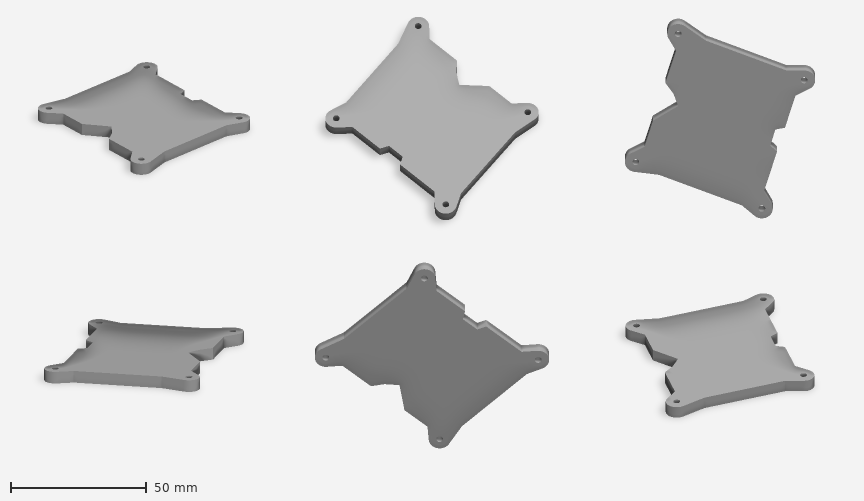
import cadquery as cq
import math

LENGTH_X = 68.2
LENGTH_Y = 57.9
THICKNESS = 4.5

EAR_RADIUS = 4.0
HOLE_DIAMETER = 2.5
HOLE_SPACING_X = 54.95
OUTER_HOLE_X = LENGTH_X / 2 - EAR_RADIUS
INNER_HOLE_X = HOLE_SPACING_X - OUTER_HOLE_X
HOLE_Y = LENGTH_Y / 2 - EAR_RADIUS

REAR_LEFT = (-OUTER_HOLE_X, HOLE_Y)
REAR_RIGHT = (INNER_HOLE_X, HOLE_Y)
FRONT_RIGHT = (OUTER_HOLE_X, -HOLE_Y)
FRONT_LEFT = (-INNER_HOLE_X, -HOLE_Y)

EDGE_Y = 23.65
CORNER_OFFSET = EAR_RADIUS * math.sqrt(2) + HOLE_Y - EDGE_Y

LEFT_SIDE_REAR = (-30.9, 17.5)
LEFT_SIDE_FRONT = (-27.5, -15.3)
RIGHT_SIDE_REAR = (26.95, 17.3)
RIGHT_SIDE_FRONT = (30.3, -14.3)

REAR_NOTCH_DEPTH = 3.15
REAR_NOTCH_FLOOR_Y = EDGE_Y - REAR_NOTCH_DEPTH
REAR_NOTCH = [
    (-6.0, EDGE_Y),
    (-4.35, REAR_NOTCH_FLOOR_Y),
    (2.5, REAR_NOTCH_FLOOR_Y),
    (4.15, EDGE_Y),
]
FRONT_NOTCH = [
    (-6.8, -EDGE_Y),
    (1.65, -16.5),
    (6.1, -19.7),
    (9.35, -EDGE_Y),
]


def tangent_angle(center, point, turn):
    """Angle of the ear radius whose tangent passes through point; turn +1 is counterclockwise."""
    dx = point[0] - center[0]
    dy = point[1] - center[1]
    return math.atan2(dy, dx) + turn * math.acos(EAR_RADIUS / math.hypot(dx, dy))


def on_ear(center, angle):
    return (
        center[0] + EAR_RADIUS * math.cos(angle),
        center[1] + EAR_RADIUS * math.sin(angle),
    )


def add_ear(outline, center, before, after):
    """Run clockwise from corner before, around the ear, to corner after."""
    start = tangent_angle(center, before, -1)
    end = tangent_angle(center, after, 1)
    sweep = (start - end) % (2 * math.pi)
    return (
        outline.lineTo(*on_ear(center, start))
        .threePointArc(on_ear(center, start - sweep / 2), on_ear(center, end))
        .lineTo(*after)
    )


def add_points(outline, points):
    for point in points:
        outline = outline.lineTo(*point)
    return outline


def edge_corner(center, inward):
    """Corner where a front or rear edge meets the 45 degree flank of an ear."""
    return (center[0] + inward * CORNER_OFFSET, math.copysign(EDGE_Y, center[1]))


def make_plate():
    """Plate outline traced clockwise from the rear end of the left side."""
    outline = cq.Workplane("XY").moveTo(*LEFT_SIDE_REAR)
    outline = add_ear(outline, REAR_LEFT, LEFT_SIDE_REAR, edge_corner(REAR_LEFT, 1))
    outline = add_points(outline, REAR_NOTCH)
    rear_right_corner = edge_corner(REAR_RIGHT, -1)
    outline = outline.lineTo(*rear_right_corner)
    outline = add_ear(outline, REAR_RIGHT, rear_right_corner, RIGHT_SIDE_REAR)
    outline = outline.lineTo(*RIGHT_SIDE_FRONT)
    outline = add_ear(outline, FRONT_RIGHT, RIGHT_SIDE_FRONT, edge_corner(FRONT_RIGHT, -1))
    outline = add_points(outline, reversed(FRONT_NOTCH))
    front_left_corner = edge_corner(FRONT_LEFT, 1)
    outline = outline.lineTo(*front_left_corner)
    outline = add_ear(outline, FRONT_LEFT, front_left_corner, LEFT_SIDE_FRONT)
    return outline.close().extrude(THICKNESS)


def make_holes():
    centers = [REAR_LEFT, REAR_RIGHT, FRONT_RIGHT, FRONT_LEFT]
    return cq.Workplane("XY").pushPoints(centers).circle(HOLE_DIAMETER / 2).extrude(THICKNESS)


result = make_plate().cut(make_holes())